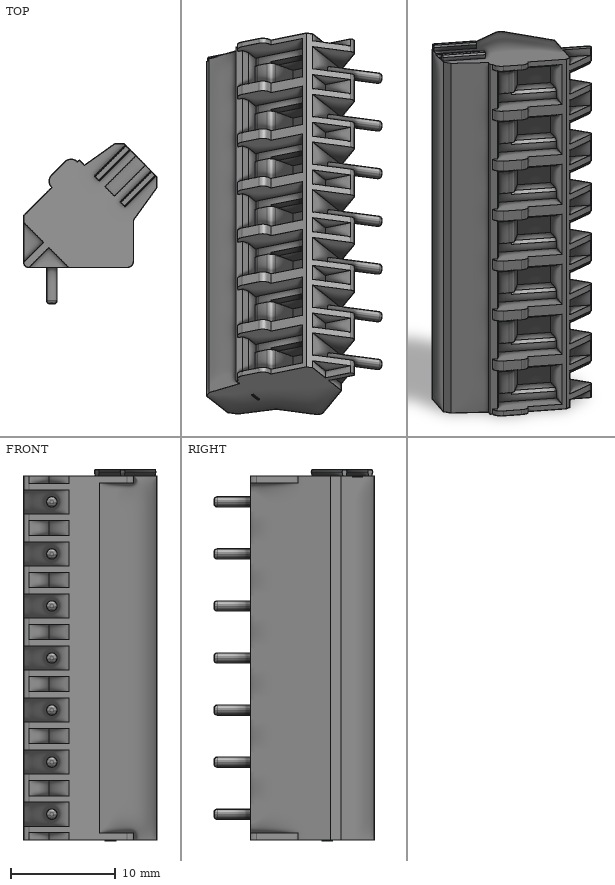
import cadquery as cq
import math

position_count = 7
body_height = 35.0
pitch = body_height / position_count
body_width = 10.55
side_height = 5.0
front_left_radius = 0.5
front_right_radius = 0.6
end_plate_thickness = 0.68
relief_start = 7.28

nose_right = 12.8
nose_top = 11.9
nose_right_low = 7.67
nose_right_high = 8.7
nose_top_left = 8.78
nose_top_right = 9.65
nose_root_along = 11.1
nose_root_step = 0.7

root_two = math.sqrt(2)
wire_face_across = -side_height / root_two

ridge_thickness = 1.0
ridge_height = 0.85
ridge_start = 7.35
ridge_end = 10.85

window_height = pitch - ridge_thickness
window_lip_along = 3.95
window_wall_along = 10.1
window_mouth_along = 10.4
window_bend_across = -2.85
window_floor_across = -1.35
floor_bevel_length = 0.35
floor_bevel_drop = 0.1

hole_height = 2.18
lever_rise = 0.2
lever_edge_along = 8.75
lever_radius = 0.7
lever_turn = math.radians(69)
hole_floor_across = 1.0
flare_start_along = 8.42
flare_width = 0.2
flare_depth = 0.57

corner_wall_along = 3.07
slot_height = 2.32
pocket_height = 1.45
corner_rib_width = 0.7

pin_diameter = 1.0
pin_x = 2.7
pin_length = 3.5
pin_embed = 2.15
pin_tip_radius = 0.32

rail_axis_across = 0.68
rail_spacing = 3.5
rail_start_along = 11.03
rail_end_along = (nose_right + nose_right_high) / root_two
rail_height = 0.6
rail_base_width = 0.45
rail_width = 0.68
rail_top_width = 0.5
rail_shoulder = 0.2
groove_width = 1.3
groove_depth = 0.1
groove_overrun = 0.35
catch_thickness = 0.18
catch_height = 0.07


def diagonal(along, across):
    """X, Y of a point given in the diagonal frame."""
    return ((along + across) / root_two, (along - across) / root_two)


def prism(points, bottom, height):
    """Straight-sided outline in X, Y raised from Z = bottom."""
    return cq.Workplane("XY").workplane(offset=bottom).polyline(points).close().extrude(height)


def diagonal_box(along, across, bottom, height):
    """Block whose along and across ranges are given as (low, high) pairs."""
    points = [
        diagonal(along[0], across[0]),
        diagonal(along[1], across[0]),
        diagonal(along[1], across[1]),
        diagonal(along[0], across[1]),
    ]
    return prism(points, bottom, height)


def housing():
    relief_slope = nose_right_low / (nose_right - relief_start)
    right_side_top = (body_width - relief_start) * relief_slope
    outline = [
        (0, 0),
        (body_width, 0),
        (body_width, right_side_top),
        (nose_right, nose_right_low),
        (nose_right, nose_right_high),
        (nose_top_right, nose_top),
        (nose_top_left, nose_top),
        diagonal(nose_root_along, wire_face_across + nose_root_step),
        diagonal(nose_root_along, wire_face_across),
        (0, side_height),
    ]
    body = prism(outline, 0, body_height)
    left_corner = cq.selectors.NearestToPointSelector((0, 0, body_height / 2))
    body = body.edges(left_corner).fillet(front_left_radius)
    right_corner = cq.selectors.NearestToPointSelector((body_width, 0, body_height / 2))
    body = body.edges(right_corner).fillet(front_right_radius)
    relief = prism(
        [(relief_start, 0), (nose_right, 0), (nose_right, nose_right_low)],
        end_plate_thickness,
        body_height - 2 * end_plate_thickness,
    )
    return body.cut(relief)


def ridge(boundary_z):
    """Ridge with quarter-round ends, trimmed to the housing at either end."""
    low = max(boundary_z - ridge_thickness / 2, 0)
    high = min(boundary_z + ridge_thickness / 2, body_height)
    top = wire_face_across - ridge_height
    arc_inset = ridge_height * (1 - math.sqrt(0.5))
    arc_across = wire_face_across - ridge_height * math.sqrt(0.5)
    return (
        cq.Workplane("XY")
        .workplane(offset=low)
        .moveTo(*diagonal(ridge_start, wire_face_across))
        .threePointArc(
            diagonal(ridge_start + arc_inset, arc_across),
            diagonal(ridge_start + ridge_height, top),
        )
        .lineTo(*diagonal(ridge_end - ridge_height, top))
        .threePointArc(
            diagonal(ridge_end - arc_inset, arc_across),
            diagonal(ridge_end, wire_face_across),
        )
        .lineTo(*diagonal(ridge_end, wire_face_across + ridge_height))
        .lineTo(*diagonal(ridge_start, wire_face_across + ridge_height))
        .close()
        .extrude(high - low)
    )


def window(middle_z):
    points = [
        diagonal(window_lip_along, wire_face_across),
        diagonal(window_mouth_along, wire_face_across),
        diagonal(window_wall_along, window_bend_across),
        diagonal(window_wall_along, window_floor_across + floor_bevel_drop),
        diagonal(window_wall_along - floor_bevel_length, window_floor_across),
        diagonal(window_lip_along, window_floor_across),
    ]
    return prism(points, middle_z - window_height / 2, window_height)


def wire_hole(middle_z):
    return diagonal_box(
        (window_lip_along, lever_edge_along),
        (window_floor_across, hole_floor_across),
        middle_z - hole_height / 2,
        hole_height,
    )


def lever(middle_z):
    """Raised pad that rolls over in a round and slopes down to the floor of the wire hole."""
    top_across = window_floor_across - lever_rise

    def on_round(turn):
        return (
            lever_edge_along - lever_radius * math.sin(turn),
            top_across + lever_radius * (1 - math.cos(turn)),
        )

    round_end = on_round(lever_turn)
    slope_run = (hole_floor_across - round_end[1]) / math.tan(lever_turn)
    return (
        cq.Workplane("XY")
        .workplane(offset=middle_z - hole_height / 2)
        .moveTo(*diagonal(lever_edge_along, top_across))
        .threePointArc(diagonal(*on_round(lever_turn / 2)), diagonal(*round_end))
        .lineTo(*diagonal(round_end[0] - slope_run, hole_floor_across))
        .lineTo(*diagonal(window_wall_along, hole_floor_across))
        .lineTo(*diagonal(window_wall_along, top_across + floor_bevel_drop))
        .lineTo(*diagonal(window_wall_along - floor_bevel_length, top_across))
        .close()
        .extrude(hole_height)
    )


def hole_flare(middle_z):
    """Lead-in that widens the hole in Z at the window floor."""
    start = diagonal(flare_start_along, window_floor_across)
    plane = cq.Plane(origin=(*start, middle_z), xDir=(0, 0, 1), normal=(-1, -1, 0))
    inner = hole_height / 2
    outer = inner + flare_width
    section = [(-outer, 0), (outer, 0), (inner, -flare_depth), (-inner, -flare_depth)]
    return cq.Workplane(plane).polyline(section).close().extrude(flare_start_along - window_lip_along)


def corner_cut(middle_z, height):
    leg = corner_wall_along * root_two
    return prism([(0, 0), (leg, 0), (0, leg)], middle_z - height / 2, height)


def corner_pocket(boundary_z):
    """Two triangular pockets separated by a rib on the diagonal."""
    rib = diagonal_box(
        (0, corner_wall_along),
        (-corner_rib_width / 2, corner_rib_width / 2),
        boundary_z - pocket_height / 2,
        pocket_height,
    )
    return corner_cut(boundary_z, pocket_height).cut(rib)


def pin(middle_z):
    return (
        cq.Workplane("XZ", origin=(pin_x, pin_embed, middle_z))
        .circle(pin_diameter / 2)
        .extrude(pin_embed + pin_length)
        .faces("<Y")
        .edges()
        .fillet(pin_tip_radius)
    )


def rail(across):
    """Undercut rail on the top end, running out to the nose tip."""
    plane = cq.Plane(
        origin=(*diagonal(rail_start_along, across), body_height), xDir=(-1, 1, 0), normal=(1, 1, 0)
    )
    shoulder_z = rail_height - rail_shoulder
    section = [
        (-rail_base_width / 2, 0),
        (rail_base_width / 2, 0),
        (rail_width / 2, shoulder_z),
        (rail_top_width / 2, rail_height),
        (-rail_top_width / 2, rail_height),
        (-rail_width / 2, shoulder_z),
    ]
    return cq.Workplane(plane).polyline(section).close().extrude(rail_end_along - rail_start_along)


groove_across = (rail_axis_across - groove_width / 2, rail_axis_across + groove_width / 2)
groove = diagonal_box(
    (rail_start_along, rail_end_along + groove_overrun),
    groove_across,
    body_height - groove_depth,
    groove_depth,
)
catch = diagonal_box(
    (rail_start_along, rail_start_along + catch_thickness),
    groove_across,
    -catch_height,
    catch_height,
)

result = housing().cut(groove).union(catch)
for side in (-1, 1):
    result = result.union(rail(rail_axis_across + side * rail_spacing / 2))

for boundary in range(position_count + 1):
    boundary_z = boundary * pitch
    result = result.union(ridge(boundary_z)).cut(corner_pocket(boundary_z))

for position in range(position_count):
    middle_z = (position + 0.5) * pitch
    result = result.cut(window(middle_z)).cut(hole_flare(middle_z))
    result = result.cut(wire_hole(middle_z)).union(lever(middle_z))
    result = result.cut(corner_cut(middle_z, slot_height)).union(pin(middle_z))